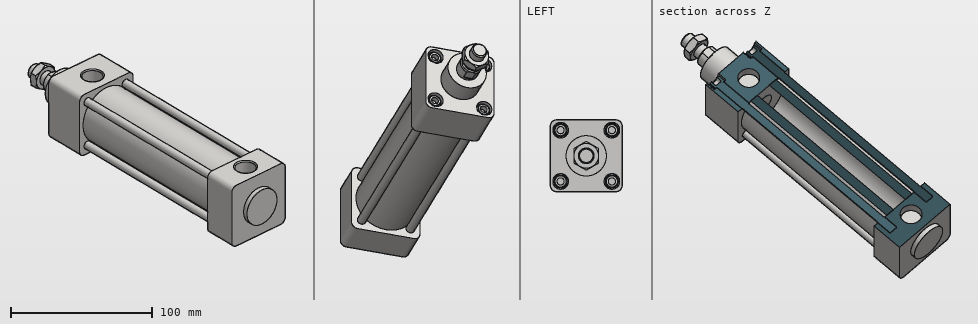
import cadquery as cq
import math


total_length = 241.3
boss_start = 28.5
head_start = 44.6
head_length = 32.5
cap_length = 25.5
cap_boss_length = 3.5
cap_end = total_length - cap_boss_length
cap_start = cap_end - cap_length
head_end = head_start + head_length

block_width = 51.0
block_corner_radius = 4.5
boss_diameter = 28.5

port_diameter = 15.2
port_mouth_diameter = 17.0
port_chamfer = (port_mouth_diameter - port_diameter) / 2
port_depth = 14.5
head_port_x = 62.5
cap_port_x = 224.0

barrel_diameter = 44.5
barrel_bore = 38.1

rod_diameter = 16.0
thread_diameter = 11.0
thread_length = 18.8
rod_chamfer = 0.85
wrench_flat_width = 14.5
wrench_flat_end = 26.5

nut_start = 6.8
nut_thickness = 6.5
nut_across_flats = 17.5
nut_chamfer_depth = 1.0
nut_chamfer_run = 1.5

tie_rod_offset = 18.0
tie_rod_diameter = 6.3
tie_rod_thread_depth = 12.0
tie_head_diameter = 9.5
tie_head_chamfer = 0.7
tie_head_length = 5.8
tie_head_recess = 1.5
tie_socket_diameter = 5.0
tie_socket_depth = 4.3
counterbore_diameter = 11.0
counterbore_depth = tie_head_recess + tie_head_length
tie_head_end = head_start + counterbore_depth
tie_rod_end = cap_start + tie_rod_thread_depth
tie_rod_centres = [
    (y_side * tie_rod_offset, z_side * tie_rod_offset)
    for y_side in (-1, 1)
    for z_side in (-1, 1)
]


def rod_along_x(start, end, diameter, y=0.0, z=0.0):
    """Solid cylinder parallel to X between two stations."""
    return (
        cq.Workplane("YZ", origin=(start, y, z))
        .circle(diameter / 2)
        .extrude(end - start)
    )


def end_block(start, end):
    """Square block with rounded edges along X."""
    return (
        cq.Workplane("YZ", origin=(start, 0, 0))
        .rect(block_width, block_width)
        .extrude(end - start)
        .edges("|X")
        .fillet(block_corner_radius)
    )


def port_cutter(x):
    """Blind port with a countersunk mouth, sunk from the top face."""
    top = block_width / 2
    bore = (
        cq.Workplane("XY", origin=(x, 0, top - port_depth))
        .circle(port_diameter / 2)
        .extrude(port_depth)
    )
    mouth = cq.Workplane(
        cq.Solid.makeCone(
            port_diameter / 2,
            port_mouth_diameter / 2,
            port_chamfer,
            cq.Vector(x, 0, top - port_chamfer),
        )
    )
    return bore.union(mouth)


def make_head():
    """Front block with rod boss, rod bore, port and counterbored tie rod holes."""
    head = end_block(head_start, head_end)
    head = head.union(rod_along_x(boss_start, head_start, boss_diameter))
    head = head.cut(rod_along_x(boss_start, head_end, rod_diameter))
    head = head.cut(port_cutter(head_port_x))
    for y, z in tie_rod_centres:
        head = head.cut(rod_along_x(head_start, head_end, tie_rod_diameter, y, z))
        head = head.cut(rod_along_x(head_start, tie_head_end, counterbore_diameter, y, z))
    return head


def make_cap():
    """Rear block with boss, port and blind tie rod holes."""
    cap = end_block(cap_start, cap_end)
    cap = cap.union(rod_along_x(cap_end, total_length, boss_diameter))
    cap = cap.cut(port_cutter(cap_port_x))
    for y, z in tie_rod_centres:
        cap = cap.cut(rod_along_x(cap_start, tie_rod_end, tie_rod_diameter, y, z))
    return cap


def make_barrel():
    """Tube clamped between the two end blocks."""
    tube = rod_along_x(head_end, cap_start, barrel_diameter)
    return tube.cut(rod_along_x(head_end, cap_start, barrel_bore))


def make_piston_rod():
    """Rod with a reduced threaded end and two wrench flats facing up and down."""
    thread = rod_along_x(0, thread_length, thread_diameter).faces("<X").chamfer(rod_chamfer)
    body = rod_along_x(thread_length, head_end, rod_diameter).faces("<X").chamfer(rod_chamfer)
    flat_length = wrench_flat_end - thread_length
    flat_cut_height = rod_diameter - wrench_flat_width
    for side in (-1, 1):
        cutter_z = side * (wrench_flat_width + flat_cut_height) / 2
        flat_cutter = (
            cq.Workplane("XY", origin=(thread_length + flat_length / 2, 0, cutter_z))
            .box(flat_length, rod_diameter, flat_cut_height)
        )
        body = body.cut(flat_cutter)
    return thread.union(body)


def make_rod_nut():
    """Hexagonal nut, corners up and down, with conically bevelled corners on both faces."""
    across_corners = nut_across_flats / math.cos(math.radians(30))
    nut = (
        cq.Workplane("YZ", origin=(nut_start, 0, 0))
        .polygon(6, across_corners)
        .extrude(nut_thickness)
        .rotate((0, 0, 0), (1, 0, 0), 90)
    )
    bevel = (
        rod_along_x(nut_start, nut_start + nut_thickness, across_corners)
        .faces("<X or >X")
        .chamfer(nut_chamfer_depth, nut_chamfer_run)
    )
    return nut.intersect(bevel).cut(rod_along_x(0, thread_length, thread_diameter))


def make_tie_rod(y, z):
    """Rod with a round bevelled socket head sunk in the counterbore."""
    head_face = head_start + tie_head_recess
    head = rod_along_x(head_face, tie_head_end, tie_head_diameter, y, z)
    head = head.faces("<X").chamfer(tie_head_chamfer)
    socket = rod_along_x(head_face, head_face + tie_socket_depth, tie_socket_diameter, y, z)
    shank = rod_along_x(tie_head_end, tie_rod_end, tie_rod_diameter, y, z)
    return shank.union(head).cut(socket)


head = make_head()
cap = make_cap()
barrel = make_barrel()
piston_rod = make_piston_rod()
rod_nut = make_rod_nut()
tie_rods = [make_tie_rod(y, z) for y, z in tie_rod_centres]

result = cq.Compound.makeCompound(
    [head.val(), cap.val(), barrel.val(), piston_rod.val(), rod_nut.val()]
    + [tie_rod.val() for tie_rod in tie_rods]
)